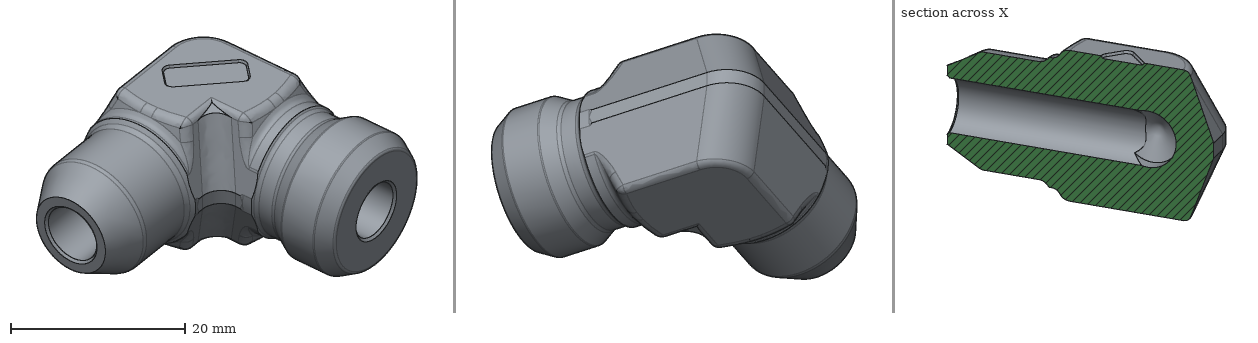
import cadquery as cq
import math


overall_x = 33.25
overall_y = 34
head_radius = 18.0 / 2
arm_length = overall_y - head_radius

half_width = overall_x - arm_length
half_height = 9.503
half_band = 0.95
side_slope = 20
edge_radius = 1.0
outer_bend_radius = 4.85
inner_bend_radius = 2.72
web_root = 1.02
x_body_end = 13.23
y_body_end = 12.27

collar_radius = half_width
collar_start = 11.97
relief_outer_radius = 11.22
rim_radius = 1.43
flat_inset = 0.2
relief_root = 1.15
relief_slope = 60

neck_radius = 15.6 / 2
neck_end = 16.1
neck_root_blend = 0.78
neck_end_blend = 1.0
head_end = 22.85
head_blend = 0.35
nose_blend = 0.4
cone_slope = 30

pipe_radius = 15.0 / 2
bevel_length = 4.3
bevel_blend = 1.0
root_blend = 1.0

bore_radius = 7.0 / 2
x_bore_overrun = 2.25
y_bore_overrun = 0
drill_half_angle = 59
mouth_chamfer = 0.3

panel_length = 9.93
panel_width = 4.08
panel_corner = 1.0
panel_depth = 0.3
panel_taper = 30
panel_offset = 1.25

slope_run = (half_height - half_band) * math.tan(math.radians(side_slope))
top_half_width = half_width - slope_run
cone_tan = math.tan(math.radians(cone_slope))
x_shoulder_end = x_body_end + collar_radius - neck_radius
y_shoulder_end = y_body_end + collar_radius - pipe_radius


def along_x(solid):
    """Move a solid built about the -Y axis onto the +X axis."""
    return solid.rotate((0, 0, 0), (0, 0, 1), 90)


def turned(profile):
    """Revolve (radius, distance from origin) points about the -Y axis."""
    points = [(radius, -distance) for radius, distance in profile]
    return cq.Workplane("XY").polyline(points).close().revolve(360, (0, 0, 0), (0, 1, 0))


def body_outline(half, height):
    """Plan of the elbow at one height, rounded on the outer bend."""
    return (
        cq.Workplane("XY", origin=(0, 0, height))
        .moveTo(-half, -y_shoulder_end)
        .lineTo(half, -y_shoulder_end)
        .lineTo(half, -half)
        .lineTo(x_shoulder_end, -half)
        .lineTo(x_shoulder_end, half)
        .lineTo(outer_bend_radius - half, half)
        .radiusArc((-half, half - outer_bend_radius), -outer_bend_radius)
        .close()
    )


def web_outline(half, height):
    """Plan of the fill in the inner bend at one height; its root lies inside the elbow."""
    root = half - web_root
    tangent = half + inner_bend_radius
    return (
        cq.Workplane("XY", origin=(0, 0, height))
        .moveTo(root, -root)
        .lineTo(root, -tangent)
        .lineTo(half, -tangent)
        .radiusArc((tangent, -half), inner_bend_radius)
        .lineTo(tangent, -root)
        .close()
    )


def drafted(outline):
    """Upright band at mid height with sides leaning in above and below it."""
    band = outline(half_width, -half_band).extrude(2 * half_band)
    lower = outline(half_width, half_band).wires().val()
    upper = outline(top_half_width, half_height).wires().val()
    top = cq.Workplane("XY").add(cq.Solid.makeLoft([lower, upper], True))
    return band.union(top).union(top.mirror("XY"))


def relief(body_end, tip_radius):
    """Ring that turns an arm of the bar: a steep cone, a round root, the collar, a 45 degree shoulder."""
    far = body_end + collar_radius - tip_radius
    steep = math.radians(relief_slope)
    cone_radius = collar_radius + relief_root * (1 - math.cos(steep))
    cone_start = collar_start - relief_root * math.sin(steep)
    cone_end = cone_start - (relief_outer_radius - cone_radius) / math.tan(steep)
    return (
        cq.Workplane("XY")
        .moveTo(tip_radius, -far)
        .lineTo(collar_radius, -body_end)
        .lineTo(collar_radius, -collar_start)
        .radiusArc((cone_radius, -cone_start), relief_root)
        .lineTo(relief_outer_radius, -cone_end)
        .lineTo(relief_outer_radius, -far)
        .close()
        .revolve(360, (0, 0, 0), (0, 1, 0))
    )


def web_trim():
    """Wedge above the plane from the inner corner of the top face to the foot of its rounded edges."""
    setback = edge_radius * math.tan(math.radians((90 - side_slope) / 2))
    slope = math.radians(side_slope)
    corner = top_half_width - setback
    foot = top_half_width + setback * math.sin(slope)
    drop = setback * math.cos(slope)
    tangent = foot + inner_bend_radius
    run = ((foot + tangent) / 2 - corner) * math.sqrt(2)
    reach = 3 * run
    start = (0, half_height)
    profile = [start, (reach, half_height - drop * reach / run), (reach, half_height + 0.35), (0, half_height + 0.35)]
    plane = cq.Plane(origin=(corner, -corner, 0), xDir=(1, -1, 0), normal=(-1, -1, 0))
    return cq.Workplane(plane).polyline(profile).close().extrude(reach, both=True)


def elbow():
    bar = drafted(body_outline)
    bar = bar.faces("<Z or >Z").edges("not (>X or <Y)").fillet(edge_radius)
    bar = bar.cut(along_x(relief(x_body_end, neck_radius)))
    bar = bar.cut(relief(y_body_end, pipe_radius))
    rim = [
        edge
        for edge in bar.faces("%CONE").edges("not %CIRCLE").vals()
        if abs(edge.Center().z) > half_height / 2
    ]
    bar = bar.newObject(rim).fillet(rim_radius)
    trim = web_trim()
    web = drafted(web_outline).cut(trim).cut(trim.mirror("XY"))
    return bar.union(web)


def at_distance(solid, radius, distance):
    """Circular edge of a solid turned about the -Y axis."""
    return solid.newObject([
        edge
        for edge in solid.edges("%CIRCLE").vals()
        if abs(edge.radius() - radius) < 0.005 and abs(edge.Center().y + distance) < 0.005
    ])


def cutting_ring_end():
    """X arm: neck, then a coned head, with a 45 degree step down from the body."""
    head_start = neck_end + (head_radius - neck_radius) / cone_tan
    nose_radius = head_radius - (arm_length - head_end) * cone_tan
    arm = turned([
        (0, 0),
        (collar_radius - flat_inset, 0),
        (collar_radius - flat_inset, x_body_end + flat_inset),
        (neck_radius, x_shoulder_end),
        (neck_radius, neck_end),
        (head_radius, head_start),
        (head_radius, head_end),
        (nose_radius, arm_length),
        (0, arm_length),
    ])
    arm = at_distance(arm, neck_radius, x_shoulder_end).fillet(neck_root_blend)
    arm = at_distance(arm, neck_radius, neck_end).fillet(neck_end_blend)
    for distance in (head_start, head_end):
        arm = at_distance(arm, head_radius, distance).fillet(head_blend)
    arm = at_distance(arm, nose_radius, arm_length).fillet(nose_blend)
    return along_x(arm)


def weld_end():
    """Y arm: plain pipe with a welding bevel and a blended 45 degree step down from the body."""
    bevel_start = arm_length - bevel_length
    arm = turned([
        (0, 0),
        (collar_radius - flat_inset, 0),
        (collar_radius - flat_inset, y_body_end + flat_inset),
        (pipe_radius, y_shoulder_end),
        (pipe_radius, bevel_start),
        (pipe_radius - bevel_length * cone_tan, arm_length),
        (0, arm_length),
    ])
    arm = at_distance(arm, pipe_radius, y_shoulder_end).fillet(root_blend)
    return at_distance(arm, pipe_radius, bevel_start).fillet(bevel_blend)


def drilled_bore(overrun):
    """Blind bore along the Y arm, ending in a drill point."""
    point = bore_radius / math.tan(math.radians(drill_half_angle))
    return turned([
        (0, -overrun - point),
        (bore_radius, -overrun),
        (bore_radius, arm_length - mouth_chamfer),
        (bore_radius + mouth_chamfer, arm_length),
        (0, arm_length),
    ])


def marking_panel():
    """Shallow rounded pocket lying across the bend on the top face."""
    return (
        cq.Workplane("XY", origin=(panel_offset, -panel_offset, half_height))
        .transformed(rotate=(0, 0, 45))
        .sketch()
        .rect(panel_length, panel_width)
        .vertices()
        .fillet(panel_corner)
        .finalize()
        .extrude(-panel_depth, taper=panel_taper)
    )


result = (
    elbow()
    .union(cutting_ring_end())
    .union(weld_end())
    .cut(drilled_bore(y_bore_overrun))
    .cut(along_x(drilled_bore(x_bore_overrun)))
    .cut(marking_panel())
)